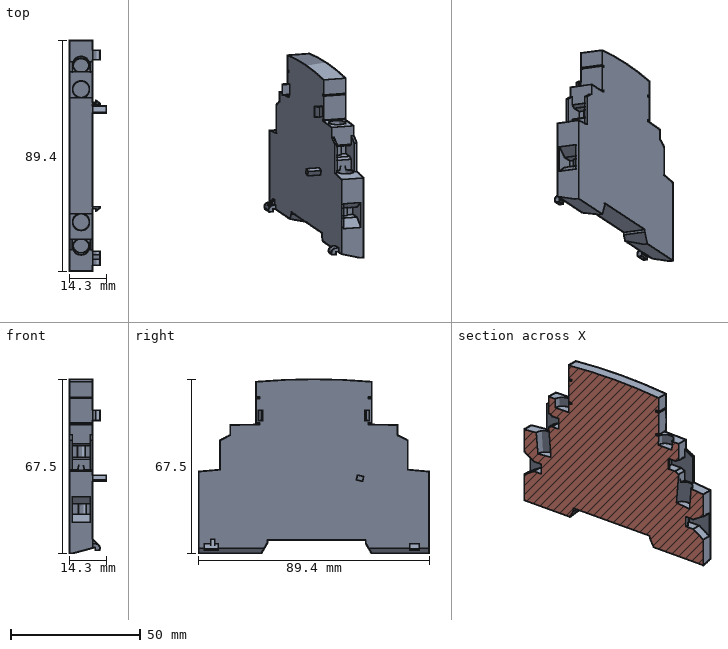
import cadquery as cq
import math

thickness = 9.0
overall_x = 14.3
overall_y = 89.4
overall_z = 67.5

base_half = overall_y / 2
base_shoulder_outer_z = 31.7
base_shoulder_inner_z = 32.45
guard_half = 36.4
guard_outer_z = 43.8
guard_inner_z = 45.85
step_half = 32.45
step_outer_z = 49.75
step_inner_z = 49.95
neck_half = 21.1
head_half = 22.5
head_bottom_z = 60.5
head_corner_z = 66.5

plate_bottom_z = 50.5
plate_top_z = 60.0

rail_roof_z = 5.1
rail_front_y = -17.93
rail_front_foot_y = -20.3
rail_front_lip_z = 4.1
rail_back_y = 20.1
rail_back_foot_y = 22.3
rail_back_lip_z = 3.8

foot_flat_width = 1.6
foot_rise = 2.0

pocket_x_min = 1.1
pocket_x_max = 8.15
lower_entry_outer_z = (12.1, 22.0)
lower_entry_inner_z = (15.1, 19.1)
lower_taper_depth = 5.0
lower_pin_x = 5.0
lower_pin_y = 34.7
upper_entry_outer_z = (36.5, 42.5)
upper_entry_inner_z = (37.3, 41.6)
upper_taper_depth = 1.75
upper_pin_x = 4.5
upper_pin_y = 25.86
pin_radius = 1.55

lower_screw_radius = 3.15
upper_screw_radius = 3.25
lower_screw_y = 35.35
lower_screw_depth = 9.0
upper_screw_y = 25.75
upper_screw_depth = 3.8

bar_center_y = 17.88
bar_center_z = 29.1
bar_length = 2.47
bar_height = 1.9
bar_tilt = 13.6

hook_reach = 2.9
upper_hook_z_min = 51.4
upper_hook_z_max = 55.5
upper_hook_stem = 0.87
upper_hook_barb = 1.75
upper_hook_edge = 0.45
upper_hook_neck = 1.25
upper_hook_y = 19.75
lower_hook_top_z = 3.7
lower_hook_under_z = 2.15
lower_hook_tip_z = 1.1
lower_hook_neck = 1.0
lower_hook_tip_reach = 2.6
lower_hook_back_y = (37.1, 40.9)
lower_hook_front_y = (-42.5, -37.0)
gusset_y = (-40.05, -38.35)

overlap = 0.5


def prism_x(points, x_min, x_max):
    """Extrude a closed (y, z) polygon along X."""
    profile = cq.Workplane("YZ").workplane(offset=x_min).polyline(points).close()
    return profile.extrude(x_max - x_min)


def prism_y(points, y_min, y_max):
    """Extrude a closed (x, z) polygon along Y."""
    profile = cq.Workplane("XZ", origin=(0, y_min, 0)).polyline(points).close()
    return profile.extrude(y_min - y_max)


def box(x_range, y_range, z_range):
    """Axis-aligned box spanning three (min, max) ranges."""
    size = [high - low for low, high in (x_range, y_range, z_range)]
    corner = (x_range[0], y_range[0], z_range[0])
    return cq.Workplane("XY").box(*size, centered=False).translate(corner)


def both_ends(shape):
    """Join a feature at the -Y end with its mirror image at the +Y end."""
    return shape.union(shape.mirror("XZ"))


def make_body():
    flank = [
        (base_half, 0),
        (base_half, base_shoulder_outer_z),
        (guard_half, base_shoulder_inner_z),
        (guard_half, guard_outer_z),
        (step_half, guard_inner_z),
        (step_half, step_outer_z),
        (neck_half, step_inner_z),
        (neck_half, head_bottom_z),
        (head_half, head_bottom_z),
        (head_half, head_corner_z),
    ]
    outline = cq.Workplane("YZ").moveTo(*flank[0])
    for point in flank[1:]:
        outline = outline.lineTo(*point)
    outline = outline.threePointArc((0, overall_z), (-head_half, head_corner_z))
    for y, z in reversed(flank[:-1]):
        outline = outline.lineTo(-y, z)
    outline = (
        outline.lineTo(rail_front_foot_y, 0)
        .lineTo(rail_front_y, rail_front_lip_z)
        .lineTo(rail_front_y, rail_roof_z)
        .lineTo(rail_back_y, rail_roof_z)
        .lineTo(rail_back_y, rail_back_lip_z)
        .lineTo(rail_back_foot_y, 0)
        .close()
    )
    return outline.extrude(thickness)


def make_label_plates():
    plate = box((0, thickness), (-head_half, -neck_half), (plate_bottom_z, plate_top_z))
    return both_ends(plate)


def make_underside_slope():
    wedge = [(foot_flat_width, 0), (thickness, foot_rise), (thickness, 0)]
    return prism_y(wedge, -base_half, base_half)


def make_guard_recess():
    """Open space between the two guard walls of the -Y end."""
    profile = [
        (-step_half, base_shoulder_inner_z),
        (-step_half, guard_inner_z),
        (-guard_half, guard_inner_z),
        (-guard_half, base_shoulder_inner_z),
    ]
    return prism_x(profile, pocket_x_min, pocket_x_max)


def make_wire_entry(face, taper_depth, outer_z, inner_z, pin_x, pin_y):
    """Funnel of the -Y end, ending in a chamber with a vertical clamping pin."""
    throat_y = -face + taper_depth
    profile = [
        (-face, outer_z[0]),
        (throat_y, inner_z[0]),
        (-pin_y, inner_z[0]),
        (-pin_y, inner_z[1]),
        (throat_y, inner_z[1]),
        (-face, outer_z[1]),
    ]
    cavity = prism_x(profile, pocket_x_min, pocket_x_max)
    pin = (
        cq.Workplane("XY", origin=(pin_x, -pin_y, inner_z[0]))
        .circle(pin_radius)
        .extrude(inner_z[1] - inner_z[0])
    )
    return cavity.cut(pin)


def make_screw_hole(y, radius, depth, inner_point, outer_point, clearance):
    """Hole of the -Y end, square to the shoulder through two (half length, z) points."""
    run = outer_point[0] - inner_point[0]
    drop = inner_point[1] - outer_point[1]
    slope = drop / run
    tilt = math.atan(slope)
    surface_z = inner_point[1] - (y - inner_point[0]) * slope
    into = cq.Vector(0, math.sin(tilt), -math.cos(tilt))
    start = cq.Vector(thickness / 2, -y, surface_z) - into * clearance
    return cq.Workplane(cq.Solid.makeCylinder(radius, depth + clearance, start, into))


def make_coupling_bar():
    bar = cq.Workplane("YZ", origin=(thickness - overlap, bar_center_y, bar_center_z))
    bar = bar.transformed(rotate=(0, 0, -bar_tilt)).rect(bar_length, bar_height)
    return bar.extrude(overall_x - thickness + overlap)


def make_upper_hook(root_y, direction):
    """Hook in the XY plane whose barb points along `direction` (+1 or -1) in Y."""
    tip_x = thickness + hook_reach
    neck_x = thickness + upper_hook_neck
    root_x = thickness - overlap
    profile = [
        (root_x, 0),
        (tip_x, 0),
        (tip_x, upper_hook_edge),
        (neck_x, upper_hook_barb),
        (neck_x, upper_hook_stem),
        (root_x, upper_hook_stem),
    ]
    points = [(x, root_y + direction * y) for x, y in profile]
    hook = cq.Workplane("XY", origin=(0, 0, upper_hook_z_min)).polyline(points).close()
    return hook.extrude(upper_hook_z_max - upper_hook_z_min)


def make_lower_hook(y_range):
    """Downward hook with a quarter-round shoulder."""
    root_x = thickness - overlap
    neck_x = thickness + lower_hook_neck
    tip_x = thickness + hook_reach
    radius = tip_x - neck_x
    center_z = lower_hook_top_z - radius
    diagonal = radius * math.sqrt(0.5)
    hook = (
        cq.Workplane("XZ", origin=(0, y_range[0], 0))
        .moveTo(root_x, lower_hook_top_z)
        .lineTo(neck_x, lower_hook_top_z)
        .threePointArc((neck_x + diagonal, center_z + diagonal), (tip_x, center_z))
        .lineTo(thickness + lower_hook_tip_reach, lower_hook_tip_z)
        .lineTo(neck_x, lower_hook_tip_z)
        .lineTo(neck_x, lower_hook_under_z)
        .lineTo(root_x, lower_hook_under_z)
        .close()
    )
    return hook.extrude(y_range[0] - y_range[1])


def make_gusset():
    """45 degree rib on the front lower hook, tangent to its rounded shoulder."""
    radius = hook_reach - lower_hook_neck
    diagonal = radius * math.sqrt(0.5)
    touch_x = thickness + lower_hook_neck + diagonal
    touch_z = lower_hook_top_z - radius + diagonal
    points = [
        (thickness - overlap, touch_z),
        (thickness - overlap, touch_z + touch_x - thickness),
        (thickness, touch_z + touch_x - thickness),
        (touch_x, touch_z),
    ]
    return prism_y(points, *gusset_y)


result = make_body().union(make_label_plates()).cut(make_underside_slope())

lower_entry = make_wire_entry(
    base_half, lower_taper_depth, lower_entry_outer_z, lower_entry_inner_z, lower_pin_x, lower_pin_y
)
upper_entry = make_wire_entry(
    step_half, upper_taper_depth, upper_entry_outer_z, upper_entry_inner_z, upper_pin_x, upper_pin_y
)
lower_screw_hole = make_screw_hole(
    lower_screw_y,
    lower_screw_radius,
    lower_screw_depth,
    (guard_half, base_shoulder_inner_z),
    (base_half, base_shoulder_outer_z),
    upper_entry_outer_z[0] - base_shoulder_inner_z,
)
upper_screw_hole = make_screw_hole(
    upper_screw_y,
    upper_screw_radius,
    upper_screw_depth,
    (neck_half, step_inner_z),
    (step_half, step_outer_z),
    overlap,
)
for cavity in (make_guard_recess(), lower_entry, upper_entry, lower_screw_hole, upper_screw_hole):
    result = result.cut(both_ends(cavity))

result = (
    result.union(make_coupling_bar())
    .union(make_upper_hook(upper_hook_y, 1))
    .union(make_upper_hook(-upper_hook_y, -1))
    .union(make_lower_hook(lower_hook_back_y))
    .union(make_lower_hook(lower_hook_front_y))
    .union(make_gusset())
)